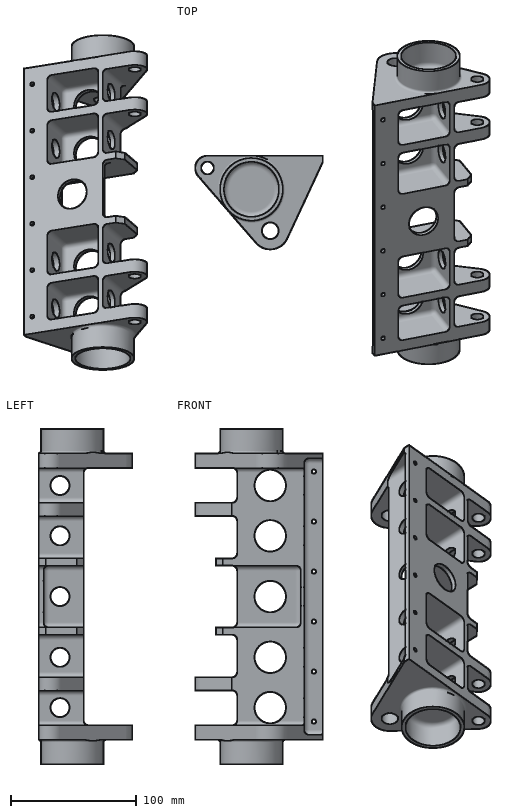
import cadquery as cq
import math


height = 268.0
width = 102.0
depth = 75.0
wall = 4.0
pocket_radius = 4.0

plate_outer_z = 114.5
plate_inner_z = 102.6
plate_fillet = 3.5
left_lobe_radius = 10.0
front_lobe_radius = 15.0
front_lobe_x = 60.0
right_edge_length = 5.0
left_hole_diameter = 10.0
front_hole_diameter = 13.0

spigot_x = 45.0
spigot_diameter = 50.0
spigot_fillet = 2.0
spigot_y = -(spigot_diameter / 2 + spigot_fillet)
bore_diameter = 44.0
bore_depth = 22.0

column_left = 33.5
column_right = 87.0
column_depth = 36.2
cavity_left = column_left + wall
cavity_right = 81.7
inner_cavity_z = (28.7, 66.2)
outer_cavity_z = (73.5, 105.0)
center_pocket_right = 84.5

lug_top_z = 75.0
lug_bottom_z = 64.3
tab_top_z = 30.5
tab_bottom_z = 24.7
tab_left = 16.5
tab_chamfer = 5.5

front_window_diameter = 25.0
front_window_x = 60.0
side_window_diameter = 15.0
side_window_y = -17.2
window_z = (48.5, 88.7)
screw_hole_diameter = 3.2
screw_hole_x = 95.0
screw_hole_pitch = 40.0
screw_hole_count = 6

left_lobe_center = (left_lobe_radius, -left_lobe_radius)
front_lobe_center = (front_lobe_x, front_lobe_radius - depth)


def box(x0, x1, y0, y1, z0, z1):
    """Box between two opposite corners."""
    return cq.Workplane("XY").box(x1 - x0, y1 - y0, z1 - z0, centered=False).translate((x0, y0, z0))


def vertical_cylinder(center, diameter, z0, z1):
    return cq.Workplane("XY", origin=(center[0], center[1], z0)).circle(diameter / 2).extrude(z1 - z0)


def polar(center, radius, angle):
    """Point on a circle, angle in radians."""
    return (center[0] + radius * math.cos(angle), center[1] + radius * math.sin(angle))


def tangent_angle(center, radius, point, side):
    """Angle on a circle where a line from an outside point touches it."""
    dx = point[0] - center[0]
    dy = point[1] - center[1]
    return math.atan2(dy, dx) + side * math.acos(radius / math.hypot(dx, dy))


def plate_prism(z0, z1):
    """Rounded triangle of the end plates, extruded from z0 to z1."""
    dx = front_lobe_center[0] - left_lobe_center[0]
    dy = front_lobe_center[1] - left_lobe_center[1]
    spread = math.acos((left_lobe_radius - front_lobe_radius) / math.hypot(dx, dy))
    slant = math.atan2(dy, dx) - spread
    corner = (width, -right_edge_length)
    right_touch = tangent_angle(front_lobe_center, front_lobe_radius, corner, -1)
    return (
        cq.Workplane("XY", origin=(0, 0, z0))
        .moveTo(width, 0)
        .lineTo(left_lobe_center[0], 0)
        .threePointArc((0, left_lobe_center[1]), polar(left_lobe_center, left_lobe_radius, slant))
        .lineTo(*polar(front_lobe_center, front_lobe_radius, slant))
        .threePointArc(
            (front_lobe_center[0], -depth),
            polar(front_lobe_center, front_lobe_radius, right_touch),
        )
        .lineTo(*corner)
        .close()
        .extrude(z1 - z0)
    )


def plate_skirt():
    """Concave fillet under the plate along the left and front column faces."""
    r = plate_fillet
    root_z = plate_inner_z - r
    left = column_left - r
    front = -column_depth - r
    skirt = box(left, column_right, front, 0, root_z, plate_inner_z)
    left_round = cq.Workplane("XZ", origin=(left, 0, root_z)).circle(r).extrude(depth)
    front_round = cq.Workplane("YZ", origin=(0, front, root_z)).circle(r).extrude(width)
    return skirt.cut(left_round).cut(front_round).intersect(plate_prism(root_z, plate_inner_z))


def plate_and_column():
    """Upper end plate with the upper half of the column."""
    plate = plate_prism(plate_inner_z, plate_outer_z)
    column = box(column_left, column_right, -column_depth, 0, 0, plate_inner_z)
    return plate.union(column).union(plate_skirt())


def spigot():
    """Round spigot whose foot flares onto the plate without passing its outline."""
    radius = spigot_diameter / 2
    foot = radius + spigot_fillet
    shoulder_z = plate_outer_z + spigot_fillet
    diagonal = spigot_fillet * (1 - math.sqrt(0.5))
    flared = (
        cq.Workplane("XZ")
        .moveTo(0, plate_outer_z)
        .lineTo(foot, plate_outer_z)
        .threePointArc((radius + diagonal, plate_outer_z + diagonal), (radius, shoulder_z))
        .lineTo(radius, height / 2)
        .lineTo(0, height / 2)
        .close()
        .revolve(360, (0, 0), (0, 1))
        .translate((spigot_x, spigot_y, 0))
    )
    return flared.intersect(plate_prism(plate_outer_z, height / 2))


def spigot_bore():
    """Blind bore with a rounded floor edge."""
    floor_z = height / 2 - bore_depth
    bore = vertical_cylinder((spigot_x, spigot_y), bore_diameter, floor_z, height / 2)
    return bore.faces("<Z").edges().fillet(pocket_radius)


def cove(z, direction, length):
    """Concave fillet between the left column face and a shelf face at height z."""
    r = pocket_radius
    diagonal = r * (1 - math.sqrt(0.5))
    return (
        cq.Workplane("XZ")
        .moveTo(column_left, z)
        .lineTo(column_left - r, z)
        .threePointArc(
            (column_left - diagonal, z + direction * diagonal),
            (column_left, z + direction * r),
        )
        .close()
        .extrude(length)
    )


def lug():
    """Ear ending in the same round lobe as the plate."""
    corner = (column_left - pocket_radius, -column_depth)
    touch = tangent_angle(left_lobe_center, left_lobe_radius, corner, -1)
    ear = (
        cq.Workplane("XY", origin=(0, 0, lug_bottom_z))
        .moveTo(column_left, 0)
        .lineTo(left_lobe_center[0], 0)
        .threePointArc((0, left_lobe_center[1]), polar(left_lobe_center, left_lobe_radius, touch))
        .lineTo(*corner)
        .lineTo(column_left, -column_depth)
        .close()
        .extrude(lug_top_z - lug_bottom_z)
    )
    return ear.union(cove(lug_top_z, 1, column_depth)).union(cove(lug_bottom_z, -1, column_depth))


def tab():
    """Thin shelf with chamfered outer corners."""
    shelf = box(tab_left, column_left, -column_depth, 0, tab_bottom_z, tab_top_z)
    shelf = shelf.edges("|Z and <X").chamfer(tab_chamfer)
    shelf = shelf.union(cove(tab_top_z, 1, column_depth))
    return shelf.union(cove(tab_bottom_z, -1, wall + pocket_radius))


def back_cavity(z0, z1):
    """Pocket open at the back, leaving the left, front and right column walls."""
    cavity = box(cavity_left, cavity_right, wall - column_depth, 0, z0, z1)
    return cavity.edges("|Y or <Y").fillet(pocket_radius)


def center_pocket():
    """Pocket between the tabs, open at the left and the front."""
    pocket = box(0, center_pocket_right, -depth, -wall, -tab_bottom_z, tab_bottom_z)
    return pocket.edges(">X or >Y").edges("not(<X or <Y)").fillet(pocket_radius)


def flange_block():
    """Stock for the back flange, within the plate outline."""
    stock = box(column_right, width, -wall - pocket_radius, 0, 0, plate_outer_z)
    return stock.intersect(plate_prism(0, plate_outer_z))


def flange_pocket():
    """Relief right of the column that also thins both end plates."""
    top = plate_outer_z - wall
    pocket = box(column_right, 2 * width, -depth, -wall, -top, top)
    return pocket.edges("<X or >Y").edges("not(>X or <Y)").fillet(pocket_radius)


def front_hole(x, z, diameter):
    """Cutter for a hole along Y through the whole depth."""
    return cq.Workplane("XZ", origin=(x, 0, z)).circle(diameter / 2).extrude(depth)


def side_window(z):
    """Cutter for a hole along X through the column walls."""
    hole = cq.Workplane("YZ", origin=(column_left, side_window_y, z)).circle(side_window_diameter / 2)
    return hole.extrude(column_right - column_left)


upper = plate_and_column().union(flange_block()).union(spigot()).union(lug()).union(tab())
upper = upper.cut(spigot_bore())
upper = upper.cut(back_cavity(*inner_cavity_z))
upper = upper.cut(back_cavity(*outer_cavity_z))
upper = upper.cut(vertical_cylinder(left_lobe_center, left_hole_diameter, 0, height / 2))
upper = upper.cut(vertical_cylinder(front_lobe_center, front_hole_diameter, 0, height / 2))

result = upper.union(upper.mirror("XY"))
result = result.cut(center_pocket()).cut(flange_pocket())

for z in (0,) + window_z + tuple(-z for z in window_z):
    result = result.cut(front_hole(front_window_x, z, front_window_diameter))
    result = result.cut(side_window(z))
for i in range(screw_hole_count):
    screw_z = (i - (screw_hole_count - 1) / 2) * screw_hole_pitch
    result = result.cut(front_hole(screw_hole_x, screw_z, screw_hole_diameter))